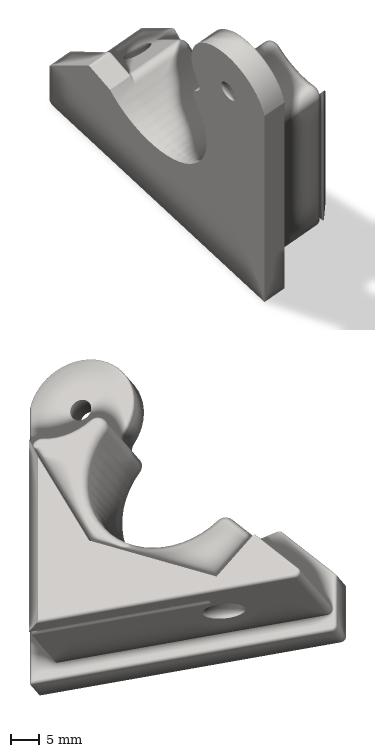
import cadquery as cq
import math

width = 57.85
height = 62.05
depth = 21.0
wall = 4.95
edge_radius = 0.5
corner_radius = 1.0
lip_radius = 0.75
tip_radius = 1.9

split_rise = 3.9
bore_radius = 15.2
bore_x = 27.05
hinge_radius = 10.0
hinge_hole_diameter = 4.0
hinge_z = height - hinge_radius
hinge_x = hinge_z - split_rise
hinge_clearance = hinge_radius + 1.0

lip_rise = split_rise + wall * math.sqrt(2)
lip_top_x = 10.7

body_base = 3.15
body_right = width - wall - 0.05
body_rear = 17.9
rear_fillet = 1.35

foot_front = 16.25
flange_start_x = 9.1
flange_notch_x = 16.25
flange_knee_x = 40.35
flange_knee_z = 17.45
flange_top_z = 41.1
flange_corner_chamfer = 2.85

screw_diameter = 5.5
screw_x = 8.6
screw_y = 13.0


def split_z(x):
    """Height of the split plane at x."""
    return x + split_rise


def prism(points, y_start, y_end):
    """Extrude an X-Z polygon between two Y positions."""
    plane = cq.Workplane("XZ", origin=(0, y_start, 0))
    return plane.polyline(points).close().extrude(y_start - y_end)


def rod(x, z, radius, y_end=depth):
    """Cylinder along +Y starting at Y = 0."""
    return cq.Workplane("XZ").center(x, z).circle(radius).extrude(-y_end)


def round_corner(solid, x, z, radius):
    """Round the Y-parallel edge nearest the point (x, z)."""
    middle_y = solid.val().BoundingBox().center.y
    corner = cq.selectors.NearestToPointSelector((x, middle_y, z))
    return solid.edges("|Y").edges(corner).fillet(radius)


bore = rod(bore_x, split_z(bore_x), bore_radius)
bore_reach = bore_radius / math.sqrt(2)
lower_tip_x = bore_x - bore_reach
upper_tip_x = bore_x + bore_reach


def make_plate():
    outline = [
        (0, 0),
        (width, 0),
        (width, hinge_z),
        (hinge_x, hinge_z),
        (lower_tip_x, split_z(lower_tip_x)),
        (lip_top_x, lip_top_x + lip_rise),
        (0, lip_rise),
    ]
    right_trim = cq.Workplane("XY").box(width, wall, height, centered=False)
    hinge = rod(hinge_x, hinge_z, hinge_radius, wall).intersect(right_trim)
    plate = prism(outline, 0, wall).union(hinge).cut(bore)

    notch_x = hinge_x - hinge_radius / math.sqrt(2)
    plate = round_corner(plate, notch_x, split_z(notch_x), tip_radius)
    plate = round_corner(plate, upper_tip_x, split_z(upper_tip_x), tip_radius)
    plate = round_corner(plate, lip_top_x, lip_top_x + lip_rise, lip_radius)
    for z in (0, lip_rise):
        plate = round_corner(plate, 0, z, corner_radius)
    plate = plate.faces(">Y").edges().fillet(edge_radius)
    return plate.cut(rod(hinge_x, hinge_z, hinge_hole_diameter / 2))


def make_body():
    outline = [
        (body_base - split_rise, body_base),
        (body_right, body_base),
        (body_right, split_z(body_right)),
    ]
    clearance = rod(hinge_x, hinge_z, hinge_clearance)
    body = prism(outline, 0, body_rear).cut(bore).cut(clearance)

    body = round_corner(body, body_base - split_rise, body_base, corner_radius)
    hinge_tip_x = hinge_x - hinge_clearance / math.sqrt(2)
    for x in (lower_tip_x, upper_tip_x, hinge_tip_x):
        body = round_corner(body, x, split_z(x), tip_radius)
    right_tip_z = hinge_z - math.sqrt(hinge_clearance**2 - (body_right - hinge_x) ** 2)
    body = round_corner(body, body_right, right_tip_z, tip_radius)
    return body.faces(">Y").edges().fillet(rear_fillet)


def make_flange():
    flange_start_z = split_z(flange_start_x)
    flange_notch_z = flange_start_z - (flange_notch_x - flange_start_x)
    foot_end_x = flange_start_x + flange_start_z - body_base
    outline = [
        (body_base - split_rise, body_base),
        (body_right, body_base),
        (body_right, flange_top_z),
        (flange_knee_x, flange_knee_z),
        (flange_notch_x, flange_notch_z),
        (flange_start_x, flange_start_z),
    ]
    flange = prism(outline, body_rear, depth)
    flange = flange.edges(">X and >Y").chamfer(flange_corner_chamfer)
    foot = prism(
        [outline[0], (foot_end_x, body_base), outline[-1]],
        foot_front,
        body_rear,
    )
    flange = flange.union(foot)
    flange = round_corner(flange, body_base - split_rise, body_base, corner_radius)
    middle = (flange_start_x / 2, depth, split_z(flange_start_x / 2))
    slope_edge = cq.selectors.NearestToPointSelector(middle)
    return flange.faces(">Y").edges(slope_edge).fillet(edge_radius)


screw_axis = cq.Vector(1, 0, -1)
screw_start = cq.Vector(screw_x, screw_y, split_z(screw_x))
screw_hole = cq.Solid.makeCylinder(screw_diameter / 2, width, screw_start, screw_axis)

result = make_plate().union(make_body()).union(make_flange()).cut(screw_hole)